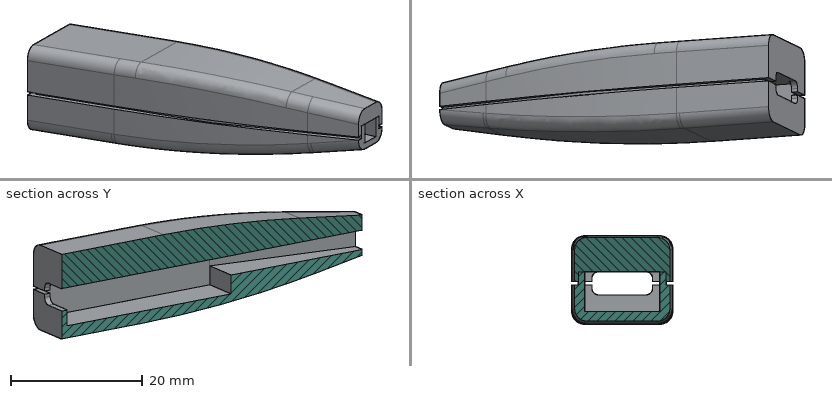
import cadquery as cq
import math

length = 55.1
width = 15.4
lower_height = 6.0
upper_height = 7.0
joint_gap = 0.5
upper_base = joint_gap
top = upper_base + upper_height
half_width = width / 2

bend_radius = 200.0
side_bend = (15.0, 47.0)
top_bend = (18.6, 43.5)
bottom_bend = (14.5, 47.5)
edge_fillet = 2.0

rim_inset = 1.0
rim_width = 1.0
rim_start = 1.0
rim_knee = 31.0
recess_depth = 1.5
rim_top = upper_base + recess_depth

floor_thickness = 2.0
chamber_floor = floor_thickness - lower_height
channel_floor = -1.0

slot_width = 9.2
slot_height = 2 * recess_depth + joint_gap
slot_corner = 1.0


def bend_angle(bend):
    """Angle turned by the tangent arc between its start and end along X."""
    start, end = bend
    return math.asin((end - start) / bend_radius)


def face_points(bend, level, inward):
    """Points along an outer face at `level`; `inward` is the sign of the direction it bends to."""
    start, end = bend
    angle = bend_angle(bend)

    def arc_point(turn):
        drop = bend_radius * (1 - math.cos(turn))
        return (start + bend_radius * math.sin(turn), level + inward * drop)

    arc_end = arc_point(angle)
    tail = (length, arc_end[1] + inward * (length - end) * math.tan(angle))
    return (start, level), arc_point(angle / 2), arc_end, tail


def tapered_outline(plane, low_level, low_bend, high_level, high_bend):
    """Closed outline between a low face and a high face, both bending inwards."""
    low_start, low_mid, low_end, low_tail = face_points(low_bend, low_level, 1)
    high_start, high_mid, high_end, high_tail = face_points(high_bend, high_level, -1)
    return (
        cq.Workplane(plane)
        .moveTo(0, low_level)
        .lineTo(*low_start)
        .threePointArc(low_mid, low_end)
        .lineTo(*low_tail)
        .lineTo(*high_tail)
        .lineTo(*high_end)
        .threePointArc(high_mid, high_start)
        .lineTo(0, high_level)
        .close()
    )


def make_envelope():
    """Outer form of both shells together, with its long edges rounded."""
    plan = tapered_outline("XY", -half_width, side_bend, half_width, side_bend)
    profile = tapered_outline("XZ", -lower_height, bottom_bend, top, top_bend)
    plan_prism = plan.extrude(top + lower_height).translate((0, 0, -lower_height))
    profile_prism = profile.extrude(half_width, both=True)
    blank = plan_prism.intersect(profile_prism)
    long_edges = blank.edges("not (|Y or |Z)")
    return long_edges.fillet(edge_fillet)


def inset_prism(inset, bottom, height):
    """Prism whose sides are inset from the shell: straight to a knee, then parallel to the tail."""
    angle = bend_angle(side_bend)
    half = half_width - inset
    knee = rim_knee - (inset - rim_inset) * math.tan(angle / 2)
    tail_half = half - (length - knee) * math.tan(angle)
    return (
        cq.Workplane("XY", origin=(0, 0, bottom))
        .moveTo(rim_start, -half)
        .lineTo(knee, -half)
        .lineTo(length, -tail_half)
        .lineTo(length, tail_half)
        .lineTo(knee, half)
        .lineTo(rim_start, half)
        .close()
        .extrude(height)
    )


def make_cavity():
    """Hollow of the lower shell: channel open at the tail, with the chamber sunk into its front."""
    inset = rim_inset + rim_width
    channel = inset_prism(inset, channel_floor, rim_top - channel_floor)
    sunk_depth = rim_top - chamber_floor
    chamber_front = layer(0, rim_knee, chamber_floor, sunk_depth)
    chamber = inset_prism(inset, chamber_floor, sunk_depth).intersect(chamber_front)
    return channel.union(chamber)


def make_slot():
    """Rounded slot through the front wall, half in each shell."""
    return (
        cq.Workplane("YZ", origin=(0, 0, joint_gap / 2))
        .rect(slot_width, slot_height)
        .extrude(rim_start)
        .edges("|X")
        .fillet(slot_corner)
    )


def layer(start, end, bottom, height):
    """Full-width block from `start` to `end` along X, standing on the level `bottom`."""
    return cq.Workplane("XY", origin=(start, 0, bottom)).box(
        end - start, width, height, centered=(False, True, False)
    )


def make_lower_shell(envelope):
    """Lower part of the envelope with the rim standing on it, hollowed and slotted."""
    block = envelope.intersect(layer(0, length, -lower_height, lower_height))
    rim = inset_prism(rim_inset, 0, rim_top)
    return block.union(rim).cut(make_cavity()).cut(make_slot())


def make_upper_shell(envelope):
    """Upper part of the envelope with the recess that takes the rim, slotted."""
    block = envelope.intersect(layer(0, length, upper_base, upper_height))
    recess = inset_prism(rim_inset, upper_base, recess_depth)
    return block.cut(recess).cut(make_slot())


handle = make_envelope()
lower_shell = make_lower_shell(handle)
upper_shell = make_upper_shell(handle)

result = cq.Compound.makeCompound([*lower_shell.solids().vals(), *upper_shell.solids().vals()])